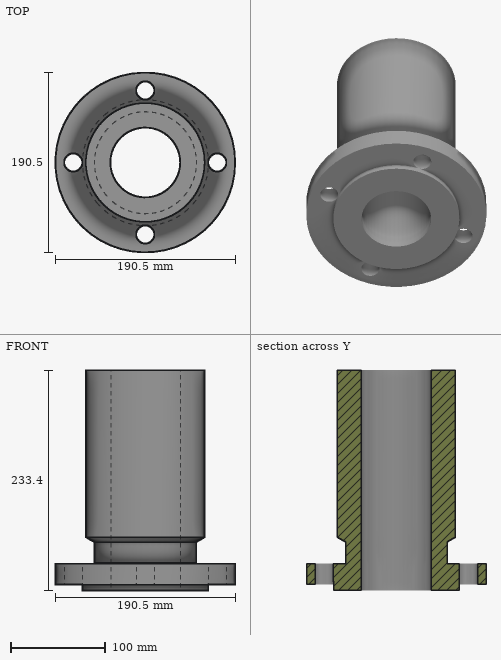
import cadquery as cq

total_height = 233.36

flange_diameter = 190.5
flange_thickness = 22.35
raised_face_diameter = 133.35
raised_face_height = 6.35
flange_top = raised_face_height + flange_thickness

bolt_count = 4
bolt_circle_diameter = 152.4
bolt_hole_diameter = 19.05

neck_diameter = 107.95
neck_top = 51.5

collar_height = 0.75
collar_step = 0.1

barrel_diameter = 125.7
taper_height = 5.1
barrel_bottom = neck_top + taper_height

bore_diameter = 73.66


def make_body():
    """Solid of revolution about Z: raised face, flange, collar, neck, taper and barrel."""
    raised_face_radius = raised_face_diameter / 2
    flange_radius = flange_diameter / 2
    neck_radius = neck_diameter / 2
    collar_radius = neck_radius + collar_step
    barrel_radius = barrel_diameter / 2
    profile = (
        cq.Workplane("XZ")
        .moveTo(0, 0)
        .lineTo(raised_face_radius, 0)
        .lineTo(raised_face_radius, raised_face_height)
        .lineTo(flange_radius, raised_face_height)
        .lineTo(flange_radius, flange_top)
        .lineTo(collar_radius, flange_top)
        .lineTo(collar_radius, flange_top + collar_height)
        .lineTo(neck_radius, flange_top + collar_height)
        .lineTo(neck_radius, neck_top)
        .lineTo(barrel_radius, barrel_bottom)
        .lineTo(barrel_radius, total_height)
        .lineTo(0, total_height)
        .close()
    )
    return profile.revolve(360, (0, 0, 0), (0, 1, 0))


def make_bore():
    """Cylinder that opens the part from end to end."""
    return cq.Workplane("XY").circle(bore_diameter / 2).extrude(total_height)


def make_bolt_holes():
    """Cylinders through the flange, evenly spaced and starting on the X axis."""
    return (
        cq.Workplane("XY")
        .polarArray(bolt_circle_diameter / 2, 0, 360, bolt_count)
        .circle(bolt_hole_diameter / 2)
        .extrude(flange_top)
    )


result = make_body().cut(make_bore()).cut(make_bolt_holes())